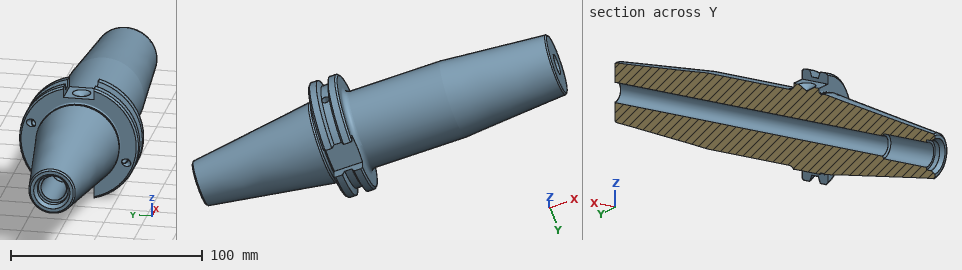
import cadquery as cq
import math

total_length = 198.2

taper_ratio = 7 / 24
gauge_x = 68.4
gauge_diameter = 44.5
small_end_diameter = gauge_diameter - gauge_x * taper_ratio
small_end_chamfer_length = 0.8
small_end_chamfer_depth = 0.8

relief_diameter = 43.6
relief_start_x = 69.4
relief_fillet = 0.8

flange_start_x = 71.5
flange_width = 15.9
flange_end_x = flange_start_x + flange_width
flange_middle_x = flange_start_x + flange_width / 2
flange_diameter = 63.2
flange_chamfer_length = 1.0
flange_chamfer_depth = 1.0
groove_diameter = 56.3
groove_floor_width = 4.0
groove_mouth_width = 6.5

body_diameter = 42.0
body_fillet = 3.0
nose_start_x = 141.0
nose_half_angle = 4.5
nose_chamfer = 0.8
nose_taper_depth = (total_length - nose_start_x) * math.tan(math.radians(nose_half_angle))
nose_end_diameter = body_diameter - 2 * nose_taper_depth

mouth_diameter = 19.2
mouth_chamfer_end_diameter = 16.3
mouth_chamfer_length = 2.4
mouth_depth = 5.2
thread_diameter = 13.5
thread_depth = 31.7
thread_point_angle = 118.0
through_diameter = 11.0

slot_width = 16.0
top_slot_floor_z = 24.8
bottom_slot_floor_z = -22.6

recess_diameter = 9.5
recess_point_angle = 118.0

coolant_angle = 20.0
coolant_radius = 27.0
coolant_diameter = 3.2
coolant_mouth_diameter = 4.0
coolant_mouth_depth = 2.4
coolant_slant = 35.0
cross_diameter = 4.2
cross_inner_radius = coolant_radius - flange_width / 2 * math.tan(math.radians(coolant_slant))


def make_blank():
    """Revolve the outer outline about the X axis."""
    taper_radius_at_chamfer = (small_end_diameter + small_end_chamfer_length * taper_ratio) / 2
    relief_radius = relief_diameter / 2
    flange_radius = flange_diameter / 2
    flange_corner_radius = flange_radius - flange_chamfer_depth
    groove_radius = groove_diameter / 2
    body_radius = body_diameter / 2
    nose_radius = nose_end_diameter / 2
    relief_fillet_rise = relief_fillet * (1 - math.sqrt(0.5))
    body_fillet_rise = body_fillet * (1 - math.sqrt(0.5))
    return (
        cq.Workplane("XY")
        .moveTo(0, 0)
        .lineTo(0, small_end_diameter / 2 - small_end_chamfer_depth)
        .lineTo(small_end_chamfer_length, taper_radius_at_chamfer)
        .lineTo(gauge_x, gauge_diameter / 2)
        .lineTo(relief_start_x, relief_radius)
        .lineTo(flange_start_x - relief_fillet, relief_radius)
        .threePointArc(
            (flange_start_x - relief_fillet_rise, relief_radius + relief_fillet_rise),
            (flange_start_x, relief_radius + relief_fillet),
        )
        .lineTo(flange_start_x, flange_corner_radius)
        .lineTo(flange_start_x + flange_chamfer_length, flange_radius)
        .lineTo(flange_middle_x - groove_mouth_width / 2, flange_radius)
        .lineTo(flange_middle_x - groove_floor_width / 2, groove_radius)
        .lineTo(flange_middle_x + groove_floor_width / 2, groove_radius)
        .lineTo(flange_middle_x + groove_mouth_width / 2, flange_radius)
        .lineTo(flange_end_x - flange_chamfer_length, flange_radius)
        .lineTo(flange_end_x, flange_corner_radius)
        .lineTo(flange_end_x, body_radius + body_fillet)
        .threePointArc(
            (flange_end_x + body_fillet_rise, body_radius + body_fillet_rise),
            (flange_end_x + body_fillet, body_radius),
        )
        .lineTo(nose_start_x, body_radius)
        .lineTo(total_length - nose_chamfer, nose_radius)
        .lineTo(total_length, nose_radius - nose_chamfer)
        .lineTo(total_length, 0)
        .close()
        .revolve(360, (0, 0, 0), (1, 0, 0))
    )


def make_bore():
    """Stepped bore along the whole axis, revolved about X."""
    thread_step = (thread_diameter - through_diameter) / 2
    thread_point_length = thread_step / math.tan(math.radians(thread_point_angle / 2))
    return (
        cq.Workplane("XY")
        .moveTo(0, 0)
        .lineTo(0, mouth_diameter / 2)
        .lineTo(mouth_chamfer_length, mouth_chamfer_end_diameter / 2)
        .lineTo(mouth_depth, mouth_chamfer_end_diameter / 2)
        .lineTo(mouth_depth, thread_diameter / 2)
        .lineTo(thread_depth, thread_diameter / 2)
        .lineTo(thread_depth + thread_point_length, through_diameter / 2)
        .lineTo(total_length, through_diameter / 2)
        .lineTo(total_length, 0)
        .close()
        .revolve(360, (0, 0, 0), (1, 0, 0))
    )


def make_slot(floor_z, side):
    """Drive slot across the flange and the fillet behind it; side is +1 for top, -1 for bottom."""
    height = flange_diameter / 2
    length = flange_width + body_fillet
    return cq.Workplane("XY").box(length, slot_width, height).translate(
        (flange_start_x + length / 2, 0, floor_z + side * height / 2)
    )


def make_recess():
    """Cone pointing down from the upper slot floor."""
    radius = recess_diameter / 2
    depth = radius / math.tan(math.radians(recess_point_angle / 2))
    cone = cq.Solid.makeCone(
        radius, 0, depth, cq.Vector(flange_middle_x, 0, top_slot_floor_z), cq.Vector(0, 0, -1)
    )
    return cq.Workplane(cone)


def make_coolant_holes(angle):
    """Stepped hole slanting inwards from the flange face, met by a radial hole from the groove."""
    outward = cq.Vector(0, math.cos(math.radians(angle)), math.sin(math.radians(angle)))
    mouth = outward * coolant_radius + cq.Vector(flange_start_x, 0, 0)
    meeting = outward * cross_inner_radius + cq.Vector(flange_middle_x, 0, 0)
    slant_path = meeting - mouth
    slant_direction = slant_path.normalized()
    slanted = cq.Solid.makeCylinder(coolant_diameter / 2, slant_path.Length, mouth, slant_direction)
    slanted_mouth = cq.Solid.makeCylinder(
        coolant_mouth_diameter / 2,
        coolant_mouth_diameter + coolant_mouth_depth,
        mouth - slant_direction * coolant_mouth_diameter,
        slant_direction,
    )
    radial = cq.Solid.makeCylinder(
        cross_diameter / 2, flange_diameter / 2 - cross_inner_radius, meeting, outward
    )
    return cq.Workplane(slanted.fuse(slanted_mouth, radial))


result = make_blank().cut(make_bore())
result = result.cut(make_slot(top_slot_floor_z, 1))
result = result.cut(make_slot(bottom_slot_floor_z, -1))
result = result.cut(make_recess())
for angle in (coolant_angle, coolant_angle + 180):
    result = result.cut(make_coolant_holes(angle))